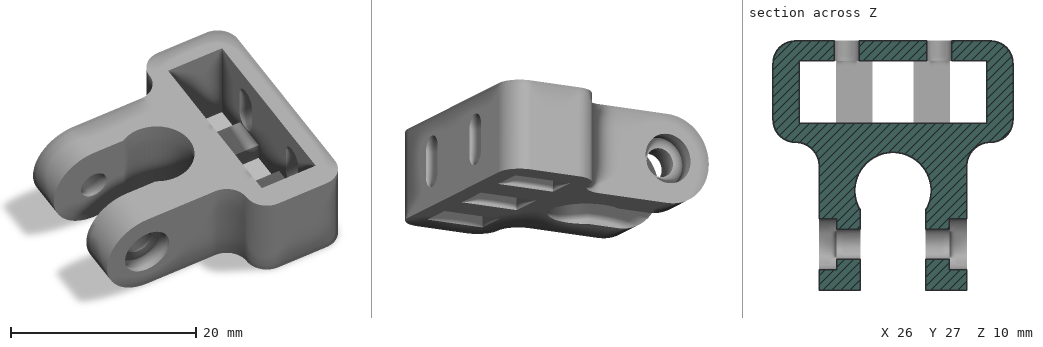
import cadquery as cq

length = 27.0
head_width = 26.0
height = 10.0

head_depth = 11.02
window_width = 20.25
window_depth = 6.72
back_wall = 2.2

bar_width = 3.97
bar_gap = 4.43
bar_thickness = 2.0

slot_width = 2.65
slot_height = 5.72
slot_spacing = 10.0

fork_width = 16.0
fork_gap = 7.02
relief_diameter = 8.2
relief_y = 10.8

pivot_diameter = 3.2
counterbore_diameter = 5.5
counterbore_depth = 1.9

blend_radius = (head_width - fork_width) / 4
end_radius = height / 2
mid_z = height / 2
head_front = length - head_depth
window_y = length - back_wall - window_depth / 2


def block(width, y_start, y_end, thickness):
    """Box centred on X, standing on the underside."""
    y_mid = (y_start + y_end) / 2
    return cq.Workplane("XY").center(0, y_mid).rect(width, y_end - y_start).extrude(thickness)


def x_cylinder(diameter, x_start, x_end):
    """Cylinder along X on the pivot axis."""
    plane = cq.Workplane("YZ", origin=(x_start, end_radius, mid_z))
    return plane.circle(diameter / 2).extrude(x_end - x_start)


def make_body():
    """T-shaped block with blended head corners and rounded fork tips."""
    head = block(head_width, head_front, length, height).edges("|Z").fillet(blend_radius)
    fork = block(fork_width, end_radius, window_y, height)
    tips = x_cylinder(height, -fork_width / 2, fork_width / 2)
    body = head.union(fork).union(tips)
    for side in (-1, 1):
        inner_x = side * fork_width / 2
        outer_x = inner_x + side * blend_radius
        blend_y = head_front - blend_radius
        corner = (
            cq.Workplane("XY")
            .center((inner_x + outer_x) / 2, head_front - blend_radius / 2)
            .rect(blend_radius, blend_radius)
            .extrude(height)
        )
        hollow = cq.Workplane("XY").center(outer_x, blend_y).circle(blend_radius).extrude(height)
        body = body.union(corner.cut(hollow))
    return body


def make_keyhole():
    """Round relief opening into the straight gap between the fork arms."""
    relief = cq.Workplane("XY").center(0, relief_y).circle(relief_diameter / 2).extrude(height)
    return relief.union(block(fork_gap, 0, relief_y, height))


def make_window():
    """Window opening, less the two crossbars left at its bottom."""
    window = cq.Workplane("XY").center(0, window_y).rect(window_width, window_depth).extrude(height)
    bar_x = (bar_gap + bar_width) / 2
    bars = (
        cq.Workplane("XY")
        .pushPoints([(-bar_x, window_y), (bar_x, window_y)])
        .rect(bar_width, window_depth)
        .extrude(bar_thickness)
    )
    return window.cut(bars)


def make_back_slots():
    """Two upright round-ended slots through the back wall only."""
    return (
        cq.Workplane("XZ", origin=(0, length, mid_z))
        .pushPoints([(-slot_spacing / 2, 0), (slot_spacing / 2, 0)])
        .slot2D(slot_height, slot_width, angle=90)
        .extrude(back_wall)
    )


def make_pivot_holes():
    """Through bore with a counterbore on the outer face of each arm."""
    outer_x = fork_width / 2
    inner_x = outer_x - counterbore_depth
    bore = x_cylinder(pivot_diameter, -outer_x, outer_x)
    left = x_cylinder(counterbore_diameter, -outer_x, -inner_x)
    right = x_cylinder(counterbore_diameter, inner_x, outer_x)
    return bore.union(left).union(right)


result = (
    make_body()
    .cut(make_keyhole())
    .cut(make_window())
    .cut(make_back_slots())
    .cut(make_pivot_holes())
)